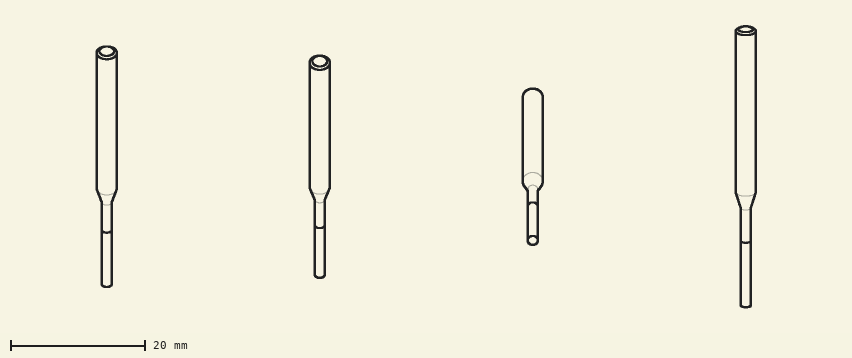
import cadquery as cq

total_length = 45.0
shank_diameter = 3.0
neck_diameter = 1.55

point_height = 0.3
drill_length = 10.75
neck_length = 5.3
taper_length = 2.55

bevel_height = 0.3
bevel_width = 0.4

shank_radius = shank_diameter / 2
neck_radius = neck_diameter / 2
drill_radius = neck_radius

tip_z = 0.0
joint_z = tip_z + drill_length
taper_bottom_z = joint_z + neck_length
taper_top_z = taper_bottom_z + taper_length
top_z = tip_z + total_length


def make_shank():
    """Cylindrical shank with a bevelled top, tapering down to a flat-ended neck."""
    return (
        cq.Workplane("XZ")
        .moveTo(0, joint_z)
        .lineTo(neck_radius, joint_z)
        .lineTo(neck_radius, taper_bottom_z)
        .lineTo(shank_radius, taper_top_z)
        .lineTo(shank_radius, top_z - bevel_height)
        .lineTo(shank_radius - bevel_width, top_z)
        .lineTo(0, top_z)
        .close()
        .revolve(360, (0, 0), (0, 1))
    )


def make_drill():
    """Cylindrical drill with a conical point, butted against the neck."""
    return (
        cq.Workplane("XZ")
        .moveTo(0, tip_z)
        .lineTo(drill_radius, tip_z + point_height)
        .lineTo(drill_radius, joint_z)
        .lineTo(0, joint_z)
        .close()
        .revolve(360, (0, 0), (0, 1))
    )


shank = make_shank()
drill = make_drill()

result = cq.Compound.makeCompound([shank.val(), drill.val()])